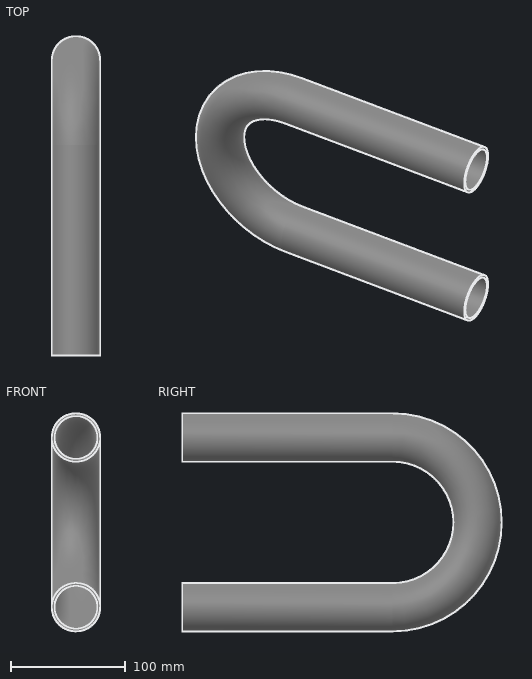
import cadquery as cq

overall_length = 279.0
overall_height = 190.5
outer_diameter = 42.5
bore_diameter = 37.5

bend_radius = (overall_height - outer_diameter) / 2
leg_length = overall_length - overall_height / 2


def leg(height):
    """Straight tube at the given height, from the bend plane (Y = 0) to its open end at -Y."""
    return (
        cq.Workplane("XZ", origin=(0, 0, height))
        .circle(outer_diameter / 2)
        .circle(bore_diameter / 2)
        .extrude(leg_length)
    )


def bend():
    """Half-turn tube on the +Y side, revolved about the X axis."""
    return (
        cq.Workplane("XZ", origin=(0, 0, bend_radius))
        .circle(outer_diameter / 2)
        .circle(bore_diameter / 2)
        .revolve(180, (0, -bend_radius, 0), (-1, -bend_radius, 0))
    )


result = bend().union(leg(bend_radius)).union(leg(-bend_radius))